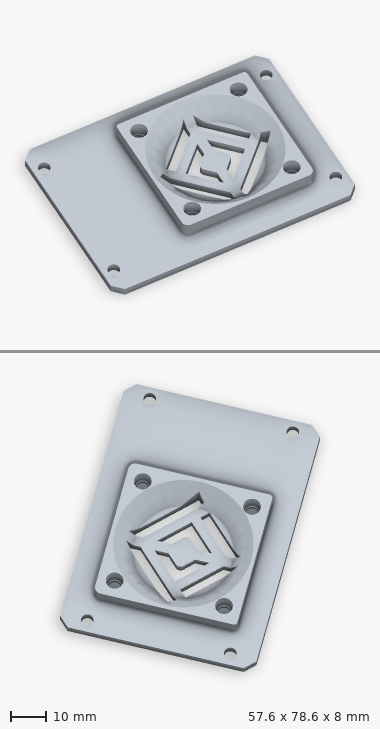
import cadquery as cq

plate_width = 57.6
plate_length = 78.6
plate_thickness = 2.5
plate_chamfer = 3.0
plate_hole_diameter = 3.6
plate_hole_x = 21.0
plate_hole_y = 35.8

total_height = 8.0
block_side = 42.0
block_center_x = -0.15
block_center_y = 8.25
left_corner_radius = 1.0
right_corner_radius = 2.0
foot_fillet = 1.0

insert_offset = 16.0
insert_top_diameter = 5.0
insert_bottom_diameter = 4.3
insert_depth = 4.0
pilot_diameter = 3.7
pilot_depth = 1.0

bowl_top_radius = 20.0
bowl_floor_radius = 14.3
bowl_floor_z = plate_thickness

slot_reach = 4.2
ring_bar_reach = 4.1
outer_reach = 17.85
outer_slot_inner_reach = outer_reach - slot_reach
inner_reach = outer_slot_inner_reach - ring_bar_reach
hub_reach = inner_reach - slot_reach
hub_corner_radius = 1.6
cross_bar_width = 3.1


def make_plate():
    plate = cq.Workplane("XY").rect(plate_width, plate_length).extrude(plate_thickness)
    plate = plate.edges("|Z").chamfer(plate_chamfer)
    return (
        plate.faces(">Z").workplane(origin=(0, 0, plate_thickness))
        .rect(2 * plate_hole_x, 2 * plate_hole_y, forConstruction=True)
        .vertices().hole(plate_hole_diameter)
    )


def add_block(plate):
    block = cq.Workplane("XY").rect(block_side, block_side).extrude(total_height)
    block = block.edges("|Z and <X").fillet(left_corner_radius)
    block = block.edges("|Z and >X").fillet(right_corner_radius)
    block = block.translate((block_center_x, block_center_y, 0))
    body = plate.union(block)
    half = block_side / 2 + foot_fillet / 2
    foot_edges = cq.selectors.BoxSelector(
        (block_center_x - half, block_center_y - half, plate_thickness - foot_fillet / 2),
        (block_center_x + half, block_center_y + half, plate_thickness + foot_fillet / 2),
    )
    return body.edges(foot_edges).fillet(foot_fillet)


def make_bowl():
    return (
        cq.Workplane("XY", origin=(block_center_x, block_center_y, bowl_floor_z))
        .circle(bowl_floor_radius)
        .workplane(offset=total_height - bowl_floor_z)
        .circle(bowl_top_radius)
        .loft(ruled=True)
    )


def make_insert_holes():
    corners = [(x, y) for x in (-insert_offset, insert_offset) for y in (-insert_offset, insert_offset)]
    bore_floor_z = total_height - insert_depth
    bore = cq.Solid.makeCone(insert_bottom_diameter / 2, insert_top_diameter / 2, insert_depth)
    pilot = cq.Solid.makeCylinder(pilot_diameter / 2, pilot_depth).translate(cq.Vector(0, 0, -pilot_depth))
    hole = bore.fuse(pilot)
    holes = cq.Workplane("XY")
    for x, y in corners:
        holes = holes.add(hole.translate(cq.Vector(block_center_x + x, block_center_y + y, bore_floor_z)))
    return holes.combine()


def grille_prism(corners):
    base = cq.Workplane("XY", origin=(block_center_x, block_center_y, 0))
    return base.polyline(corners).close().extrude(total_height)


def diamond(reach):
    corners = [(reach, 0), (0, reach), (-reach, 0), (0, -reach)]
    return grille_prism(corners)


def make_grille_slots():
    outer_ring = diamond(outer_reach).cut(diamond(outer_slot_inner_reach))
    hub = diamond(hub_reach).edges("|Z").fillet(hub_corner_radius)
    inner_ring = diamond(inner_reach).cut(hub)
    cross_bar = (
        cq.Workplane("XY").center(block_center_x, block_center_y)
        .rect(2 * outer_reach, cross_bar_width).extrude(total_height)
    )
    for side in (1, -1):
        bar_points = [
            (0, side * outer_slot_inner_reach),
            (-(outer_reach - outer_slot_inner_reach) / 2, side * (outer_reach + outer_slot_inner_reach) / 2),
            (-(outer_reach - inner_reach) / 2, side * (outer_reach + inner_reach) / 2),
            (-(outer_slot_inner_reach - inner_reach) / 2, side * (outer_slot_inner_reach + inner_reach) / 2),
        ]
        bar = grille_prism(bar_points)
        outer_ring = outer_ring.cut(bar)
    return outer_ring.union(inner_ring).cut(cross_bar)


result = add_block(make_plate()).cut(make_bowl()).cut(make_insert_holes()).cut(make_grille_slots())